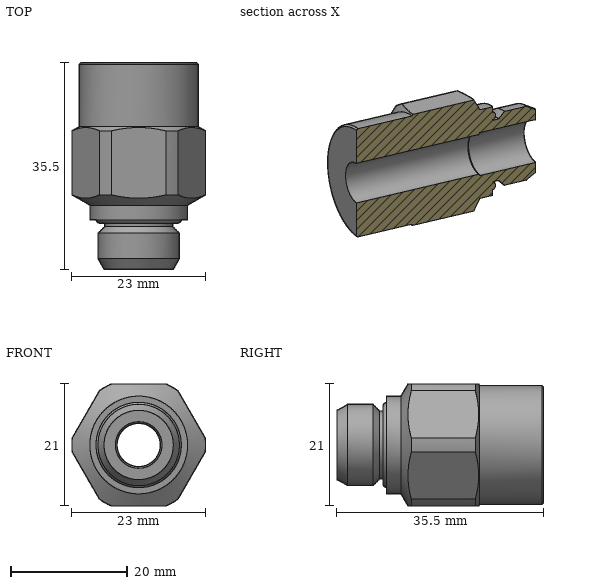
import cadquery as cq
import math


total_length = 35.5
hex_across_flats = 21.0
hex_corner_diameter = 23.0
hex_bevel_angle = 30.0

spigot_diameter = 14.0
tip_diameter = 11.9
tip_chamfer_length = 1.85
spigot_straight_end = 6.2
groove_diameter = 11.7

collar_diameter = 16.8
collar_start = 8.5
collar_length = 2.5
ring_section_radius = 0.75
ring_seat_depth = 0.15

sleeve_diameter = 20.5
sleeve_length = 11.0
sleeve_chamfer = 0.3

bore_mouth_diameter = 8.0
bore_diameter = 7.4
bore_cone_angle = 45.0

hex_corner_radius = hex_corner_diameter / 2
spigot_radius = spigot_diameter / 2
tip_radius = tip_diameter / 2
groove_radius = groove_diameter / 2
collar_radius = collar_diameter / 2
sleeve_radius = sleeve_diameter / 2
bore_mouth_radius = bore_mouth_diameter / 2
bore_radius = bore_diameter / 2

groove_start = spigot_straight_end + (spigot_radius - groove_radius)
collar_end = collar_start + collar_length
bevel_slope = math.tan(math.radians(hex_bevel_angle))
hex_front = collar_end + (hex_corner_radius - collar_radius) * bevel_slope
sleeve_start = total_length - sleeve_length
hex_back = sleeve_start - (hex_corner_radius - sleeve_radius) * bevel_slope
bore_mouth_depth = collar_end


def make_turned_body():
    """Outside of the fitting as turned, before the hexagon flats are cut."""
    profile = (
        cq.Workplane("XY")
        .moveTo(0, 0)
        .lineTo(tip_radius, 0)
        .lineTo(spigot_radius, tip_chamfer_length)
        .lineTo(spigot_radius, spigot_straight_end)
        .lineTo(groove_radius, groove_start)
        .lineTo(groove_radius, collar_start)
        .lineTo(collar_radius, collar_start)
        .lineTo(collar_radius, collar_end)
        .lineTo(hex_corner_radius, hex_front)
        .lineTo(hex_corner_radius, hex_back)
        .lineTo(sleeve_radius, sleeve_start)
        .lineTo(sleeve_radius, total_length - sleeve_chamfer)
        .lineTo(sleeve_radius - sleeve_chamfer, total_length)
        .lineTo(0, total_length)
        .close()
    )
    return profile.revolve(360, (0, 0, 0), (0, 1, 0))


def make_hex_prism():
    """Hexagonal bar along Y with two flats facing up and down."""
    across_corners = hex_across_flats / math.cos(math.radians(30))
    return cq.Workplane("XZ").polygon(6, across_corners).extrude(-total_length)


def make_seal_ring():
    """Round-section ring around the groove, partly sunk into the collar face."""
    centre_radius = groove_radius + ring_section_radius
    centre_y = collar_start + ring_seat_depth
    section = cq.Workplane("XY").moveTo(centre_radius, centre_y).circle(ring_section_radius)
    return section.revolve(360, (0, 0, 0), (0, 1, 0))


def make_bore():
    """Through bore with a wider mouth that tapers down to it."""
    cone_length = (bore_mouth_radius - bore_radius) / math.tan(math.radians(bore_cone_angle))
    profile = (
        cq.Workplane("XY")
        .moveTo(0, 0)
        .lineTo(bore_mouth_radius, 0)
        .lineTo(bore_mouth_radius, bore_mouth_depth)
        .lineTo(bore_radius, bore_mouth_depth + cone_length)
        .lineTo(bore_radius, total_length)
        .lineTo(0, total_length)
        .close()
    )
    return profile.revolve(360, (0, 0, 0), (0, 1, 0))


body = make_turned_body().intersect(make_hex_prism())
result = body.union(make_seal_ring()).cut(make_bore())